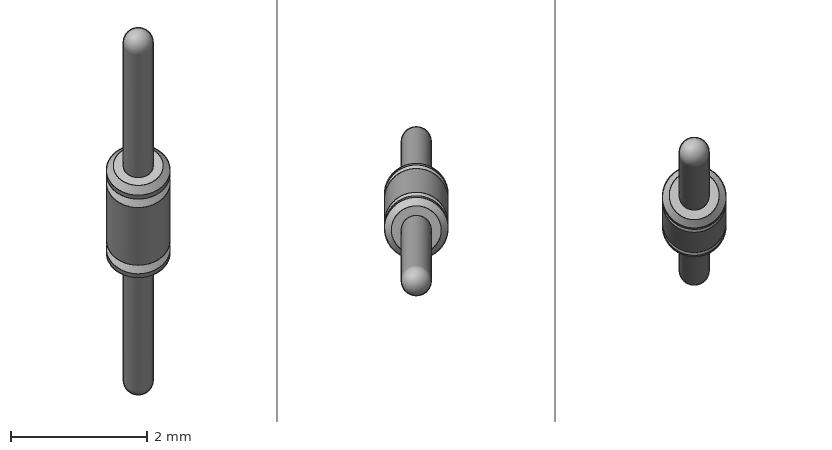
import cadquery as cq

total_length = 8.52
outer_radius = 0.47
pin_radius = 0.22
sleeve_length = 1.585
ring_length = 0.3
chamfer = 0.1

half_length = total_length / 2
ring_center = (sleeve_length + ring_length) / 2


def make_collar(length, center_z):
    """Bored cylinder with both outer edges chamfered, centred at center_z."""
    return (
        cq.Workplane("XY")
        .circle(outer_radius)
        .extrude(length)
        .faces("<Z or >Z")
        .chamfer(chamfer)
        .faces(">Z")
        .workplane()
        .hole(2 * pin_radius)
        .translate((0, 0, center_z - length / 2))
    )


def make_pin(direction):
    """Round pin from the middle plane to a hemispherical tip, up (+1) or down (-1)."""
    shoulder_z = direction * (half_length - pin_radius)
    tip_z = direction * half_length
    arc_offset = pin_radius * 0.5 ** 0.5
    return (
        cq.Workplane("XZ")
        .lineTo(pin_radius, 0)
        .lineTo(pin_radius, shoulder_z)
        .threePointArc((arc_offset, shoulder_z + direction * arc_offset), (0, tip_z))
        .close()
        .revolve(360, (0, 0, 0), (0, 1, 0))
    )


sleeve = make_collar(sleeve_length, 0)

rings = []
pins = []
for direction in (1, -1):
    rings.append(make_collar(ring_length, direction * ring_center))
    pins.append(make_pin(direction))

result = cq.Compound.makeCompound(
    [sleeve.val(), *[ring.val() for ring in rings], *[pin.val() for pin in pins]]
)